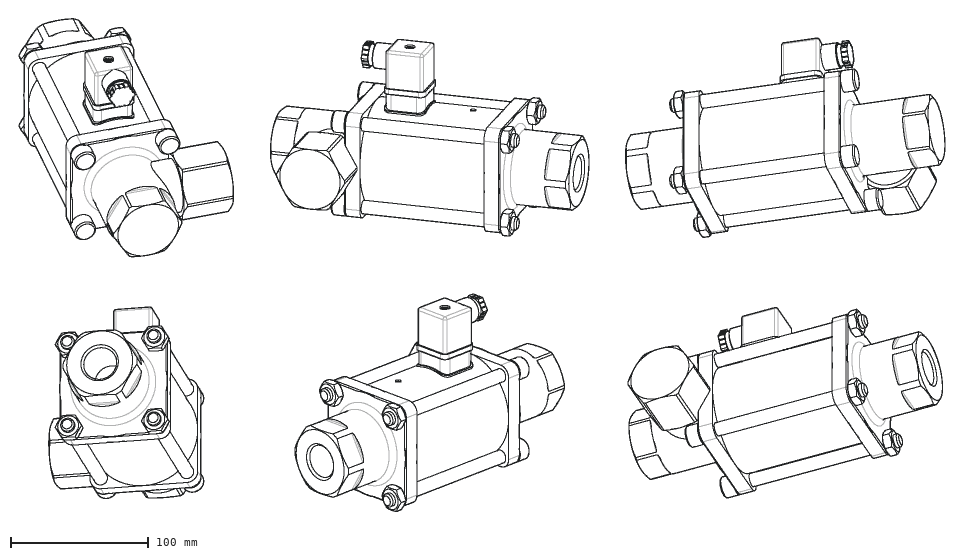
import cadquery as cq
import math


HEX_SIDES = 6

LEFT_PLATE_X = 47.7
RIGHT_PLATE_END_X = 166.5
PLATE_THICKNESS = 12.0
PLATE_CHAMFER = 1.03
PLATE_SIZE = 80.0
HEAD_DIAMETER = 16.0
BOLT_OFFSET = (PLATE_SIZE - HEAD_DIAMETER) / 2
ROD_DIAMETER = 10.0
ROD_TIP_DIAMETER = 7.3
ROD_START_X = 36.5
HEAD_HEIGHT = 10.3
HEAD_CHAMFER = 1.1
NUT_FLATS = 17.0
NUT_CHAMFER_DIAMETER = 15.5
NUT_CHAMFER_ANGLE = math.radians(30)
NUT_START_X = 40.4
NUT_HEIGHT = LEFT_PLATE_X - NUT_START_X

TOTAL_LENGTH = 228.0
LEFT_NECK_DIAMETER = 55.0
LEFT_HEX_FLATS = 50.0
LEFT_HEX_LENGTH = 17.5
RIGHT_NECK_DIAMETER = 52.0
RIGHT_HEX_FLATS = 46.0
RIGHT_HEX_LENGTH = 18.5
HEX_ROOT_FILLET = 1.0
HEX_END_CHAMFER_LENGTH = 1.5
HEX_END_CHAMFER_DEPTH = 3.0
NECK_FILLET = 4.0
BORE_DIAMETER = 24.5
BORE_MOUTH_DIAMETER = 27.8
BORE_DEPTH = 41.0

SIDE_PORT_X = 182.5
SIDE_NECK_DIAMETER = 40.0
SIDE_HEX_START_Y = 34.2
SIDE_HEX_END_Y = 71.8

VENT_X = 80.7
VENT_DIAMETER = 4.0
VENT_DEPTH = 1.1
VENT_PILOT_DIAMETER = 2.5
VENT_PILOT_DEPTH = 3.5

CONNECTOR_X = 128.8
GASKET_SIZE = 31.7
GASKET_THICKNESS = 1.1
BASE_SIZE = 29.6
BASE_CORNER_RADIUS = 5.0
COLLAR_SIZE = 31.2
COLLAR_CORNER_RADIUS = 4.3
COLLAR_BOTTOM_Z = 50.8
BOX_BOTTOM_Z = 55.0
BOX_TOP_Z = 83.7
BOX_SIZE = 28.7
BOX_EDGE_RADIUS = 2.0
BOX_TOP_RADIUS = 1.94
SCREW_HOLE_DIAMETER = 7.3
SCREW_HOLE_DEPTH = 2.3
SCREW_HEAD_DIAMETER = 6.0
SCREW_HEAD_HEIGHT = 1.4
SCREW_SLOT_WIDTH = 1.1

GLAND_DIAMETER = 19.0
GLAND_Z = BOX_TOP_Z - GLAND_DIAMETER / 2
GLAND_END_X = 154.8
GLAND_CHAMFER = 0.5
GLAND_NECK_DIAMETER = 16.0
CAP_START_X = 158.2
CAP_END_X = 163.0
CAP_FLATS = 17.0
CAP_GROOVE_WIDTH = 0.7
CAP_GROOVE_DEPTH = 0.5
CAP_GROOVE_OFFSET = 1.8


def rod_x(start, end, diameter, y=0.0, z=0.0):
    """Cylinder along X between two stations."""
    plane = cq.Workplane("YZ", origin=(start, y, z))
    return plane.circle(diameter / 2).extrude(end - start)


def hex_prism(flats, height):
    """Hexagonal prism along +Z with two corners on the X axis."""
    return cq.Workplane("XY").polygon(HEX_SIDES, flats / math.cos(math.pi / HEX_SIDES)).extrude(height)


def along_x(body):
    """Turn a body from the Z axis to the X axis, its hexagon corners to the Y axis."""
    return body.rotate((0, 0, 0), (0, 0, 1), 90).rotate((0, 0, 0), (0, 1, 0), 90)


def chamfered_rod(diameter, height, bottom=None, top=None):
    """Turned blank along +Z; bottom and top are (length, depth) of the end chamfers."""
    radius = diameter / 2
    bottom_length, bottom_depth = bottom or (0, 0)
    top_length, top_depth = top or (0, 0)
    outline = cq.Workplane("XZ").moveTo(0, 0).lineTo(radius - bottom_depth, 0)
    if bottom:
        outline = outline.lineTo(radius, bottom_length)
    outline = outline.lineTo(radius, height - top_length)
    if top:
        outline = outline.lineTo(radius - top_depth, height)
    return outline.lineTo(0, height).close().revolve(360, (0, 0, 0), (0, 1, 0))


def port_neck(neck_diameter, flats, hex_length, total_length):
    """Round neck along +Z from a filleted foot to an end with six milled wrench flats."""
    end_chamfer = (HEX_END_CHAMFER_LENGTH, HEX_END_CHAMFER_DEPTH)
    neck = chamfered_rod(neck_diameter, total_length, top=end_chamfer)
    wall_z = total_length - hex_length
    flat_cut = cq.Workplane("XY", origin=(0, flats / 2, wall_z))
    flat_cut = flat_cut.box(neck_diameter, neck_diameter, hex_length, centered=(True, False, False))
    flat_cut = flat_cut.edges("<Y and <Z").fillet(HEX_ROOT_FILLET)
    for flat in range(HEX_SIDES):
        neck = neck.cut(flat_cut.rotate((0, 0, 0), (0, 0, 1), flat * 360 / HEX_SIDES))
    radius = neck_diameter / 2
    foot = (
        cq.Workplane("XZ")
        .lineTo(radius + NECK_FILLET, 0)
        .radiusArc((radius, NECK_FILLET), NECK_FILLET)
        .lineTo(0, NECK_FILLET)
        .close()
        .revolve(360, (0, 0, 0), (0, 1, 0))
    )
    return neck.union(foot)


def left_port():
    neck = port_neck(LEFT_NECK_DIAMETER, LEFT_HEX_FLATS, LEFT_HEX_LENGTH, LEFT_PLATE_X)
    return along_x(neck).mirror("YZ").translate((LEFT_PLATE_X, 0, 0))


def right_port():
    length = TOTAL_LENGTH - RIGHT_PLATE_END_X
    neck = port_neck(RIGHT_NECK_DIAMETER, RIGHT_HEX_FLATS, RIGHT_HEX_LENGTH, length)
    return along_x(neck).translate((RIGHT_PLATE_END_X, 0, 0))


def left_bore():
    mouth = (BORE_MOUTH_DIAMETER - BORE_DIAMETER) / 2
    bore = rod_x(0, BORE_DEPTH, BORE_DIAMETER)
    flare = cq.Workplane("YZ").circle(BORE_MOUTH_DIAMETER / 2).extrude(mouth, taper=45)
    return bore.union(flare)


def side_port():
    chamfer = (HEX_END_CHAMFER_LENGTH, HEX_END_CHAMFER_DEPTH)
    height = SIDE_HEX_END_Y - SIDE_HEX_START_Y
    body = chamfered_rod(RIGHT_NECK_DIAMETER, height, bottom=chamfer, top=chamfer)
    body = body.intersect(hex_prism(RIGHT_HEX_FLATS, height)).translate((0, 0, SIDE_HEX_START_Y))
    neck = cq.Workplane("XY").circle(SIDE_NECK_DIAMETER / 2).extrude(SIDE_HEX_START_Y)
    return body.union(neck).rotate((0, 0, 0), (1, 0, 0), -90).translate((SIDE_PORT_X, 0, 0))


def plate(start, outer_side):
    """Square flange with round corners and a chamfer around its outer face."""
    block = cq.Workplane("YZ", origin=(start, 0, 0)).rect(PLATE_SIZE, PLATE_SIZE).extrude(PLATE_THICKNESS)
    block = block.edges("|X").fillet(HEAD_DIAMETER / 2)
    return block.faces(outer_side).edges().chamfer(PLATE_CHAMFER)


def tie_bolt(y, z):
    """Tie rod with a cylindrical head on the right and a hexagon nut on the left."""
    rod = rod_x(ROD_START_X, RIGHT_PLATE_END_X, ROD_DIAMETER, y, z)
    rod = rod.faces("<X").chamfer((ROD_DIAMETER - ROD_TIP_DIAMETER) / 2)
    head = rod_x(RIGHT_PLATE_END_X, RIGHT_PLATE_END_X + HEAD_HEIGHT, HEAD_DIAMETER, y, z)
    head = head.faces(">X").edges().chamfer(HEAD_CHAMFER)
    corner_diameter = NUT_FLATS / math.cos(math.pi / HEX_SIDES)
    depth = (corner_diameter - NUT_CHAMFER_DIAMETER) / 2
    chamfer = (depth * math.tan(NUT_CHAMFER_ANGLE), depth)
    nut = chamfered_rod(corner_diameter, NUT_HEIGHT, bottom=chamfer, top=chamfer)
    nut = nut.intersect(hex_prism(NUT_FLATS, NUT_HEIGHT))
    return rod.union(head).union(along_x(nut).translate((NUT_START_X, y, z)))


def square_block(size, bottom, top, corner_radius):
    """Square block with round vertical edges on the connector axis."""
    block = cq.Workplane("XY", origin=(CONNECTOR_X, 0, bottom)).rect(size, size).extrude(top - bottom)
    return block.edges("|Z").fillet(corner_radius)


def gland():
    """Cable gland with a hexagonal cap that has two grooves along each flat."""
    body = rod_x(CONNECTOR_X, GLAND_END_X, GLAND_DIAMETER, z=GLAND_Z)
    body = body.faces(">X").edges().chamfer(GLAND_CHAMFER)
    neck = rod_x(GLAND_END_X, CAP_START_X, GLAND_NECK_DIAMETER, z=GLAND_Z)
    cap_length = CAP_END_X - CAP_START_X
    groove_pair = (
        cq.Workplane("XY")
        .pushPoints([(-CAP_GROOVE_OFFSET, CAP_FLATS / 2), (CAP_GROOVE_OFFSET, CAP_FLATS / 2)])
        .rect(CAP_GROOVE_WIDTH, 2 * CAP_GROOVE_DEPTH)
        .extrude(cap_length)
    )
    cap = hex_prism(CAP_FLATS, cap_length)
    for flat in range(HEX_SIDES):
        cap = cap.cut(groove_pair.rotate((0, 0, 0), (0, 0, 1), flat * 360 / HEX_SIDES))
    return body.union(neck).union(along_x(cap).translate((CAP_START_X, 0, GLAND_Z)))


def cover_screw_recess():
    """Round recess that leaves a cross-slotted screw head standing on its floor."""
    floor = BOX_TOP_Z - SCREW_HOLE_DEPTH
    base = cq.Workplane("XY", origin=(CONNECTOR_X, 0, floor))
    head = base.circle(SCREW_HEAD_DIAMETER / 2).extrude(SCREW_HEAD_HEIGHT)
    head = head.cut(base.rect(SCREW_HEAD_DIAMETER, SCREW_SLOT_WIDTH).extrude(SCREW_HEAD_HEIGHT))
    head = head.cut(base.rect(SCREW_SLOT_WIDTH, SCREW_HEAD_DIAMETER).extrude(SCREW_HEAD_HEIGHT))
    return base.circle(SCREW_HOLE_DIAMETER / 2).extrude(SCREW_HOLE_DEPTH).cut(head)


def connector():
    half = GASKET_SIZE / 2
    gasket = square_block(GASKET_SIZE, 0, PLATE_SIZE, BASE_CORNER_RADIUS)
    crown = rod_x(CONNECTOR_X - half, CONNECTOR_X + half, PLATE_SIZE + 2 * GASKET_THICKNESS)
    gasket = gasket.intersect(crown)
    base = square_block(BASE_SIZE, 0, COLLAR_BOTTOM_Z, BASE_CORNER_RADIUS)
    collar = square_block(COLLAR_SIZE, COLLAR_BOTTOM_Z, BOX_BOTTOM_Z, COLLAR_CORNER_RADIUS)
    box = square_block(BOX_SIZE, BOX_BOTTOM_Z, BOX_TOP_Z, BOX_EDGE_RADIUS)
    box = box.faces(">Z").edges().fillet(BOX_TOP_RADIUS)
    housing = gasket.union(base).union(collar).union(box)
    return housing.union(gland()).cut(cover_screw_recess())


def vent():
    base = cq.Workplane("XY", origin=(VENT_X, 0, PLATE_SIZE / 2))
    counterbore = base.circle(VENT_DIAMETER / 2).extrude(-VENT_DEPTH)
    return counterbore.union(base.circle(VENT_PILOT_DIAMETER / 2).extrude(-VENT_PILOT_DEPTH))


result = rod_x(LEFT_PLATE_X, RIGHT_PLATE_END_X, PLATE_SIZE)
result = result.union(plate(LEFT_PLATE_X, "<X"))
result = result.union(plate(RIGHT_PLATE_END_X - PLATE_THICKNESS, ">X"))
for y_side in (-1, 1):
    for z_side in (-1, 1):
        result = result.union(tie_bolt(y_side * BOLT_OFFSET, z_side * BOLT_OFFSET))
result = result.union(left_port()).union(right_port()).union(side_port())
result = result.union(connector()).cut(vent()).cut(left_bore())